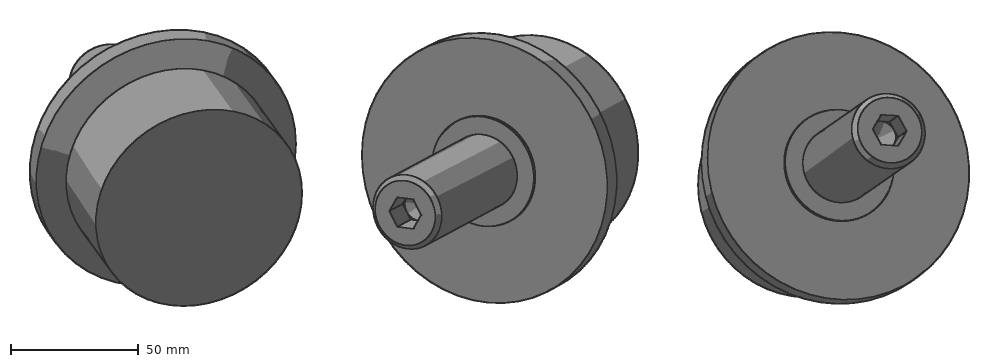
import cadquery as cq
import math


stud_diameter = 30.0
stud_length = 69.5
stud_chamfer = 1.9

collar_diameter = 44.4
collar_thickness = 1.5

tread_diameter = 85.0
tread_width = 38.0
flange_diameter = 107.0
flange_rim_width = 8.5
flange_taper_angle = 20.0

socket_across_flats = 12.0
socket_depth = 12.0
socket_point_angle = 120.0

stud_radius = stud_diameter / 2
collar_radius = collar_diameter / 2
tread_radius = tread_diameter / 2
flange_radius = flange_diameter / 2
flange_taper_width = (flange_radius - tread_radius) * math.tan(math.radians(flange_taper_angle))

collar_start = stud_length
flange_start = collar_start + collar_thickness
taper_start = flange_start + flange_rim_width
tread_start = taper_start + flange_taper_width
tread_end = tread_start + tread_width


def make_body():
    """Stud, collar, flange and tread, revolved about X as one profile."""
    profile = (
        cq.Workplane("XY")
        .moveTo(0, 0)
        .lineTo(0, stud_radius - stud_chamfer)
        .lineTo(stud_chamfer, stud_radius)
        .lineTo(collar_start, stud_radius)
        .lineTo(collar_start, collar_radius)
        .lineTo(flange_start, collar_radius)
        .lineTo(flange_start, flange_radius)
        .lineTo(taper_start, flange_radius)
        .lineTo(tread_start, tread_radius)
        .lineTo(tread_end, tread_radius)
        .lineTo(tread_end, 0)
        .close()
    )
    return profile.revolve(360, (0, 0, 0), (1, 0, 0))


def make_socket():
    """Hexagonal recess with corners on the Y axis, ending in a conical drill point."""
    across_corners = socket_across_flats / math.cos(math.radians(30))
    hexagon = cq.Workplane("YZ").polygon(6, across_corners).extrude(socket_depth)

    point_radius = socket_across_flats / 2
    point_depth = point_radius / math.tan(math.radians(socket_point_angle / 2))
    drill_point = (
        cq.Workplane("XY")
        .moveTo(socket_depth, 0)
        .lineTo(socket_depth, point_radius)
        .lineTo(socket_depth + point_depth, 0)
        .close()
        .revolve(360, (0, 0, 0), (1, 0, 0))
    )
    return hexagon.union(drill_point)


result = make_body().cut(make_socket())